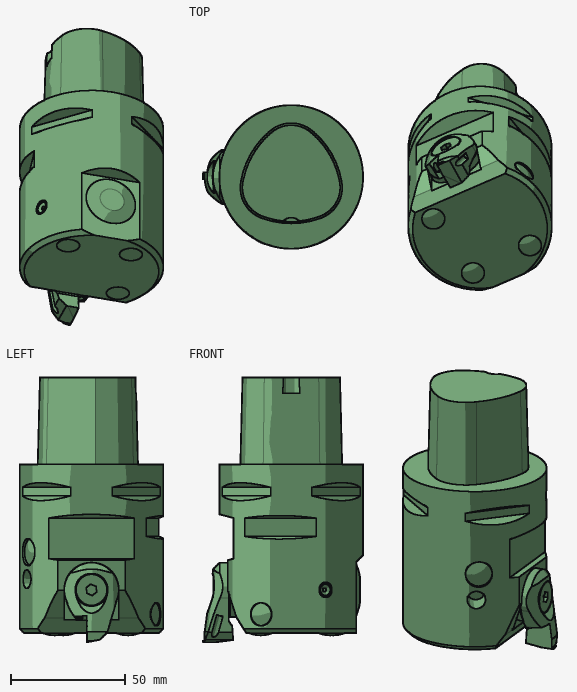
import cadquery as cq
import math


BODY_R = 31.5
BODY_BOTTOM = -74.0
BOTTOM_CHAMFER = 2.0
BEYOND = BODY_R + 3.0

SHANK_LENGTH = 38.0
SHANK_BASE_R = 22.0
SHANK_LOBE = 1.6
TAPER_PER_SIDE = 1 / 40
LOBE_SECTORS = 6
NOTCH_R = 5.0
NOTCH_Y = -22.83
NOTCH_DEPTH = 6.8

GRIPPER_FLOOR = 27.75
GRIPPER_Z = -12.0
GRIPPER_FLOOR_HEIGHT = 3.7
GRIPPER_FLARE = 29.0
POCKET_FLARE = 15.0
FRONT_POCKET_ANGLE = 260.0
FRONT_POCKET_FLOOR = 27.2
FRONT_POCKET_Z = (-31.6, -23.6)
SIDE_POCKET_FLOOR = 25.3
SIDE_POCKET_Z = (-41.3, -23.6)
SEAT_FLAT_X = -27.85
SEAT_FLAT_BOTTOM = -55.2
RELIEF_KNEE = (-23.9, -67.3)
RELIEF_END_X = -19.7
REAR_FLAT_X = 28.55
REAR_FLAT_TOP = -39.8

SEAT_Z = -55.0
SEAT_FLOOR_X = -23.4
SEAT_R = 12.0

CAP_R = 11.3
CAP_SHOULDER = (8.3, 1.05)
CAP_FACE_R = 5.5
CAP_HEIGHT = 1.6
PLUG_R = 5.01
PLUG_DOME = 1.0
PLUG_ROOT = 3.0
SIDE_PLUG_ANGLE = 244.8
SIDE_PLUG_Z = -65.7
SIDE_PLUG_SEAT = 30.7
BOTTOM_PLUGS = [(-13.4, 16.2), (18.3, 12.4), (17.1, -16.0)]
RECESS_ANGLE = 117.5
RECESS_Z = -38.5
RECESS_R = 5.85
RECESS_FLOOR = 30.0
RECESS_RISE = 1.0
SIDE_HOLE_ANGLE = 115.5
SIDE_HOLE_Z = -50.3
SIDE_HOLE_R = 4.0
SIDE_HOLE_DEPTH = 12.0
NOZZLE_ANGLE = 298.6
NOZZLE_Z = -55.0
NOZZLE_RIM_R = 3.35
NOZZLE_R = 3.0
NOZZLE_DISH_R = 2.5
NOZZLE_DISH_DEPTH = 1.1
NOZZLE_BORE_R = 0.8
NOZZLE_BORE_DEPTH = 4.0

DISC_R = 11.92
DISC_FACE_X = -34.1
DISC_CHAMFER = 2.7
PLATE_BACK_X = -27.35
PLATE_FRONT_X = -42.0
NECK_R = 10.0
SLOT_X = -26.85
SLOT_TOP = SEAT_Z - 3.4
CROWN_R = 16.0
CROWN_LEAN = 7.8
CROWN_LENGTH = 50.0
LAND_X = -38.0
LAND_TOP = -73.4
EDGE_X = -38.73
EDGE_TOP = -77.4
LEG_ANGLE = 17.0
LEG_FOOT = (-6.95, -73.6)
LEG_HEEL = (-3.6, -76.9)
TIP_Y = 2.05
TIP_Z = -78.0
STEP_Z = -68.4
STEP_CORNER = (7.0, -67.3)
STEP_INNER_Y = 6.5
STEP_BULGE = (9.66, -63.3)
STEP_FRONT = (-36.8, -66.4)
FOOT_START = (PLATE_BACK_X, -68.6)
FOOT_KNEE = (-25.8, -70.9)
FOOT_END = (-25.4, -77.0)
EDGE_INNER_X = -33.0
CHANNEL_R = 1.4
CHANNEL_TOP = (-31.3, -66.4)
CHANNEL_LEAN = 15.6
COOLANT_HOLE_R = 1.25
COOLANT_HOLE_END = (-29.0, 5.1, -66.0)
COOLANT_HOLE_SLOPE = 0.4

HEAD_R = 6.8
HEAD_BORE_R = 7.15
HEAD_FACE_X = -34.1
HEAD_SEAT_X = -29.5
MOUTH_SLOPE = 1.1
SCREW_R = 4.0
SCREW_HOLE_R = 4.25
SCREW_END_X = -10.0
SOCKET_CORNERS = 5.01
SOCKET_DEPTH = 3.0
SOCKET_TURN = 7.5


def tan(angle):
    return math.tan(math.radians(angle))


def x_cylinder(radius, x_start, x_end):
    """Cylinder along X on the insert axis."""
    return cq.Workplane("YZ", origin=(x_start, 0, SEAT_Z)).circle(radius).extrude(x_end - x_start)


def y_prism(points, y_low=-BEYOND, y_high=BEYOND):
    """Prism along Y from an XZ outline."""
    return cq.Workplane("XZ", origin=(0, y_high, 0)).polyline(points).close().extrude(y_high - y_low)


def revolve_radial(points, angle, z):
    """Solid of revolution about a radial line; points are (distance from axis, radius)."""
    solid = cq.Workplane("XY").polyline(points).close().revolve(360, (0, 0, 0), (1, 0, 0))
    return solid.translate((0, 0, z)).rotate((0, 0, 0), (0, 0, 1), angle)


def shank_outline(workplane, mean_r):
    """Three-lobed outline made of six arcs."""
    def point(turn):
        x = mean_r * math.sin(turn) - SHANK_LOBE * math.sin(2 * turn)
        y = mean_r * math.cos(turn) + SHANK_LOBE * math.cos(2 * turn)
        return x, y

    sector = 2 * math.pi / LOBE_SECTORS
    outline = workplane.moveTo(*point(sector / 2))
    for i in range(1, LOBE_SECTORS + 1):
        outline = outline.threePointArc(point(i * sector), point((i + 0.5) * sector))
    return outline.close()


def shank():
    base = shank_outline(cq.Workplane("XY"), SHANK_BASE_R)
    top_r = SHANK_BASE_R - SHANK_LENGTH * TAPER_PER_SIDE
    solid = shank_outline(base.workplane(offset=SHANK_LENGTH), top_r).loft(ruled=True, combine=True)
    notch_floor = cq.Workplane("XY", origin=(0, NOTCH_Y, SHANK_LENGTH - NOTCH_DEPTH))
    return solid.cut(notch_floor.circle(NOTCH_R).extrude(NOTCH_DEPTH))


def flared_pocket(angle, floor, z_range, flare):
    """Flat-floored pocket across the body whose top and bottom walls open outward."""
    z_low, z_high = z_range
    spread = (BEYOND - floor) * tan(flare)
    section = [(floor, z_low), (BEYOND, z_low - spread), (BEYOND, z_high + spread), (floor, z_high)]
    return y_prism(section).rotate((0, 0, 0), (0, 0, 1), angle)


def seat_relief():
    """Flat around the insert and the two slopes below it."""
    return y_prism([
        (SEAT_FLAT_X, SIDE_POCKET_Z[0]),
        (SEAT_FLAT_X, SEAT_FLAT_BOTTOM),
        RELIEF_KNEE,
        (RELIEF_END_X, BODY_BOTTOM),
        (-BEYOND, BODY_BOTTOM),
        (-BEYOND, SIDE_POCKET_Z[0]),
    ])


def rear_flat():
    """Flat opposite the insert, with a 45 degree run-out at its top."""
    return y_prism([
        (REAR_FLAT_X, BODY_BOTTOM),
        (REAR_FLAT_X, REAR_FLAT_TOP - (BODY_R - REAR_FLAT_X)),
        (BEYOND, REAR_FLAT_TOP + (BEYOND - BODY_R)),
        (BEYOND, BODY_BOTTOM),
    ])


def insert_seat():
    """Round recess for the locating disc, open downward at full width."""
    recess = x_cylinder(SEAT_R, SEAT_FLOOR_X, -BEYOND)
    opening = y_prism([
        (SEAT_FLOOR_X, SEAT_Z),
        (SEAT_FLOOR_X, BODY_BOTTOM),
        (-BEYOND, BODY_BOTTOM),
        (-BEYOND, SEAT_Z),
    ], -SEAT_R, SEAT_R)
    return recess.union(opening)


def rear_cap():
    profile = (
        cq.Workplane("XY")
        .moveTo(REAR_FLAT_X - PLUG_ROOT, 0)
        .lineTo(REAR_FLAT_X - PLUG_ROOT, CAP_R)
        .lineTo(REAR_FLAT_X, CAP_R)
        .threePointArc((REAR_FLAT_X + CAP_SHOULDER[1], CAP_SHOULDER[0]),
                       (REAR_FLAT_X + CAP_HEIGHT, CAP_FACE_R))
        .lineTo(REAR_FLAT_X + CAP_HEIGHT, 0)
        .close()
    )
    return profile.revolve(360, (0, 0, 0), (1, 0, 0)).translate((0, 0, SEAT_Z))


def domed_plug():
    """Plug along +Z with its seat at Z = 0 and a shallow dome above it."""
    dome_r = (PLUG_R**2 + PLUG_DOME**2) / (2 * PLUG_DOME)
    half_chord = PLUG_R / 2
    half_height = PLUG_DOME - dome_r + math.sqrt(dome_r**2 - half_chord**2)
    profile = (
        cq.Workplane("XZ")
        .moveTo(0, -PLUG_ROOT)
        .lineTo(PLUG_R, -PLUG_ROOT)
        .lineTo(PLUG_R, 0)
        .threePointArc((half_chord, half_height), (0, PLUG_DOME))
        .close()
    )
    return profile.revolve(360, (0, 0, 0), (0, 1, 0))


def side_plug():
    plug = domed_plug().rotate((0, 0, 0), (0, 1, 0), 90).translate((SIDE_PLUG_SEAT, 0, SIDE_PLUG_Z))
    return plug.rotate((0, 0, 0), (0, 0, 1), SIDE_PLUG_ANGLE)


def side_plug_counterbore():
    section = [(SIDE_PLUG_SEAT, 0), (BEYOND, 0), (BEYOND, PLUG_R), (SIDE_PLUG_SEAT, PLUG_R)]
    return revolve_radial(section, SIDE_PLUG_ANGLE, SIDE_PLUG_Z)


def bottom_plug(x, y):
    return domed_plug().rotate((0, 0, 0), (1, 0, 0), 180).translate((x, y, BODY_BOTTOM))


def raised_floor_recess():
    return revolve_radial([
        (BEYOND, 0),
        (BEYOND, RECESS_R),
        (RECESS_FLOOR, RECESS_R),
        (RECESS_FLOOR + RECESS_RISE, 0),
    ], RECESS_ANGLE, RECESS_Z)


def side_hole():
    bottom = BODY_R - SIDE_HOLE_DEPTH
    section = [(bottom, 0), (BEYOND, 0), (BEYOND, SIDE_HOLE_R), (bottom, SIDE_HOLE_R)]
    return revolve_radial(section, SIDE_HOLE_ANGLE, SIDE_HOLE_Z)


def coolant_nozzle():
    """Countersunk rim, narrow ledge, conical dish and a fine bore."""
    ledge = BODY_R - (NOZZLE_RIM_R - NOZZLE_R)
    dish_bottom = BODY_R - NOZZLE_DISH_DEPTH
    bore_bottom = BODY_R - NOZZLE_BORE_DEPTH
    return revolve_radial([
        (BEYOND, 0),
        (BEYOND, NOZZLE_RIM_R),
        (BODY_R, NOZZLE_RIM_R),
        (ledge, NOZZLE_R),
        (ledge, NOZZLE_DISH_R),
        (dish_bottom, NOZZLE_BORE_R),
        (bore_bottom, NOZZLE_BORE_R),
        (bore_bottom, 0),
    ], NOZZLE_ANGLE, NOZZLE_Z)


def make_housing():
    body = cq.Workplane("XY").circle(BODY_R).extrude(BODY_BOTTOM)
    body = body.faces("<Z").chamfer(BOTTOM_CHAMFER)
    gripper_z = (GRIPPER_Z - GRIPPER_FLOOR_HEIGHT / 2, GRIPPER_Z + GRIPPER_FLOOR_HEIGHT / 2)
    for angle in (45, 135, 225, 315):
        body = body.cut(flared_pocket(angle, GRIPPER_FLOOR, gripper_z, GRIPPER_FLARE))
    body = body.cut(flared_pocket(FRONT_POCKET_ANGLE, FRONT_POCKET_FLOOR, FRONT_POCKET_Z, POCKET_FLARE))
    body = body.cut(flared_pocket(180, SIDE_POCKET_FLOOR, SIDE_POCKET_Z, POCKET_FLARE))
    body = body.cut(seat_relief()).cut(rear_flat()).cut(insert_seat())
    body = body.cut(x_cylinder(SCREW_R, SEAT_FLOOR_X, SCREW_END_X))
    body = body.cut(raised_floor_recess()).cut(side_hole()).cut(coolant_nozzle())
    body = body.cut(side_plug_counterbore())
    body = body.union(shank()).union(rear_cap()).union(side_plug())
    for x, y in BOTTOM_PLUGS:
        body = body.union(bottom_plug(x, y))
    return body


def crowned_envelope():
    """Space behind the crowned front face, a leaning cylinder that turns upright at the tip."""
    leaning = cq.Workplane("XY").circle(CROWN_R).extrude(2 * CROWN_LENGTH).translate((0, 0, -CROWN_LENGTH))
    leaning = leaning.rotate((0, 0, 0), (0, 1, 0), CROWN_LEAN)
    axis_x = LAND_X + CROWN_R / math.cos(math.radians(CROWN_LEAN))
    leaning = leaning.translate((axis_x, 0, LAND_TOP))
    land_section = cq.Workplane("XY", origin=(LAND_X + CROWN_R, 0, LAND_TOP)).circle(CROWN_R)
    land = land_section.extrude(TIP_Z - LAND_TOP)
    edge_section = cq.Workplane("XY", origin=(EDGE_X + CROWN_R, 0, EDGE_TOP)).circle(CROWN_R)
    edge = edge_section.extrude(TIP_Z - EDGE_TOP)
    above_land = cq.Workplane("XY", origin=(0, 0, LAND_TOP)).circle(2 * BEYOND).extrude(CROWN_LENGTH)
    return leaning.intersect(above_land).union(land).union(edge)


def plate():
    """Disc-topped plate that narrows into the cutting leg."""
    lean = math.radians(LEG_ANGLE)
    tangent_y = DISC_R * math.cos(lean)
    tangent_z = SEAT_Z - DISC_R * math.sin(lean)
    outline = (
        cq.Workplane("YZ", origin=(PLATE_FRONT_X, 0, 0))
        .moveTo(-tangent_y, tangent_z)
        .threePointArc((0, SEAT_Z + DISC_R), (tangent_y, tangent_z))
        .threePointArc(STEP_BULGE, STEP_CORNER)
        .lineTo(STEP_INNER_Y, STEP_Z)
        .lineTo(TIP_Y, STEP_Z)
        .lineTo(TIP_Y, TIP_Z)
        .lineTo(*LEG_HEEL)
        .lineTo(*LEG_FOOT)
        .close()
    )
    side_profile = y_prism([
        (PLATE_FRONT_X, SEAT_Z + SEAT_R),
        (PLATE_BACK_X, SEAT_Z + SEAT_R),
        FOOT_START,
        FOOT_KNEE,
        FOOT_END,
        (EDGE_INNER_X, TIP_Z),
        (PLATE_FRONT_X, TIP_Z),
    ])
    underside = y_prism([
        STEP_FRONT,
        (PLATE_BACK_X, STEP_Z),
        (PLATE_FRONT_X, STEP_Z),
        (PLATE_FRONT_X, STEP_FRONT[1]),
    ], TIP_Y, SEAT_R)
    solid = outline.extrude(FOOT_END[0] - PLATE_FRONT_X)
    return solid.intersect(side_profile).intersect(crowned_envelope()).cut(underside)


def rim_chamfer():
    """45 degree cone bevelling the upper half of the plate rim."""
    rim_x = DISC_FACE_X + DISC_CHAMFER
    return (
        cq.Workplane("XY")
        .moveTo(rim_x, DISC_R)
        .lineTo(DISC_FACE_X - DISC_CHAMFER, DISC_R - 2 * DISC_CHAMFER)
        .lineTo(DISC_FACE_X - DISC_CHAMFER, SEAT_R)
        .lineTo(rim_x, SEAT_R)
        .close()
        .revolve(180, (0, 0, 0), (1, 0, 0))
        .translate((0, 0, SEAT_Z))
    )


def screw_opening():
    """Clearance hole, head bore and a round mouth sinking toward the leg."""
    hole = x_cylinder(SCREW_HOLE_R, SEAT_FLOOR_X, HEAD_SEAT_X)
    bore = x_cylinder(HEAD_BORE_R, HEAD_SEAT_X, PLATE_FRONT_X)
    mouth_length = HEAD_FACE_X - PLATE_FRONT_X
    mouth = (
        cq.Workplane("YZ", origin=(HEAD_FACE_X, 0, SEAT_Z))
        .circle(HEAD_BORE_R)
        .workplane(offset=-mouth_length)
        .center(0, -mouth_length * MOUTH_SLOPE)
        .circle(HEAD_BORE_R)
        .loft(ruled=True)
    )
    return hole.union(bore).union(mouth)


def coolant_channel():
    """Half-round channel running down the leaning side of the leg."""
    x, z = CHANNEL_TOP
    lean = tan(LEG_ANGLE)
    y = LEG_FOOT[0] - (z - LEG_FOOT[1]) * lean
    run = cq.Vector(-tan(CHANNEL_LEAN), lean, -1)
    return cq.Workplane(cq.Solid.makeCylinder(CHANNEL_R, z - TIP_Z, cq.Vector(x, y, z), run))


def coolant_hole():
    """Blind hole rising into the sloping underside beside the leg."""
    x, y, z = COOLANT_HOLE_END
    run = cq.Vector(-1, 0, -COOLANT_HOLE_SLOPE)
    return cq.Workplane(cq.Solid.makeCylinder(COOLANT_HOLE_R, SEAT_R, cq.Vector(x, y, z), run))


def make_insert():
    disc = x_cylinder(DISC_R, SEAT_FLOOR_X, SLOT_X)
    neck = x_cylinder(NECK_R, SLOT_X, PLATE_BACK_X)
    slot = y_prism([
        (PLATE_BACK_X, SLOT_TOP),
        (SLOT_X, SLOT_TOP),
        (SLOT_X, SEAT_Z - SEAT_R),
        (PLATE_BACK_X, SEAT_Z - SEAT_R),
    ])
    solid = plate().union(neck.cut(slot)).union(disc)
    return solid.cut(rim_chamfer()).cut(screw_opening()).cut(coolant_channel()).cut(coolant_hole())


def make_screw():
    head = x_cylinder(HEAD_R, HEAD_FACE_X, HEAD_SEAT_X)
    shaft = x_cylinder(SCREW_R, HEAD_SEAT_X, SCREW_END_X)
    socket = (
        cq.Workplane("YZ")
        .polygon(6, SOCKET_CORNERS)
        .extrude(SOCKET_DEPTH)
        .rotate((0, 0, 0), (1, 0, 0), 90 - SOCKET_TURN)
        .translate((HEAD_FACE_X, 0, SEAT_Z))
    )
    return head.union(shaft).cut(socket)


housing = make_housing()
insert = make_insert()
screw = make_screw()

result = cq.Compound.makeCompound([housing.val(), insert.val(), screw.val()])